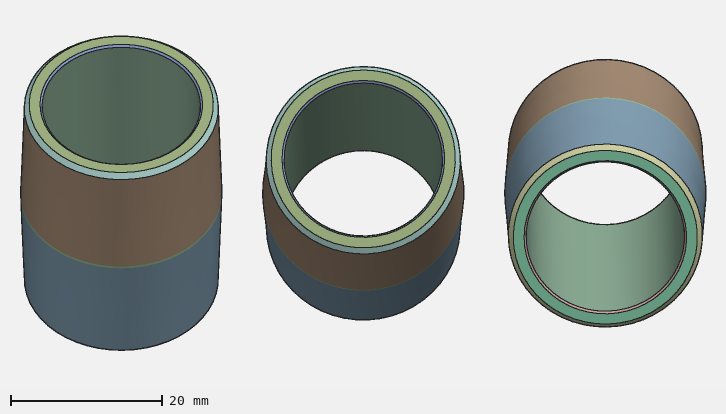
import cadquery as cq

length = 34.92
middle_radius = 13.35
end_radius = 12.85
bore_radius = 10.48

band_height = 0.35

outer_chamfer = 0.65
bore_chamfer = 0.28

half_length = length / 2
half_band = band_height / 2
chamfer_start = half_length - outer_chamfer
face_outer_radius = end_radius - outer_chamfer
face_inner_radius = bore_radius + bore_chamfer
bore_end = half_length - bore_chamfer

section = (
    cq.Workplane("XZ")
    .moveTo(bore_radius, -bore_end)
    .lineTo(face_inner_radius, -half_length)
    .lineTo(face_outer_radius, -half_length)
    .lineTo(end_radius, -chamfer_start)
    .lineTo(middle_radius, -half_band)
    .lineTo(middle_radius, half_band)
    .lineTo(end_radius, chamfer_start)
    .lineTo(face_outer_radius, half_length)
    .lineTo(face_inner_radius, half_length)
    .lineTo(bore_radius, bore_end)
    .close()
)

result = section.revolve(360, (0, 0, 0), (0, 1, 0))